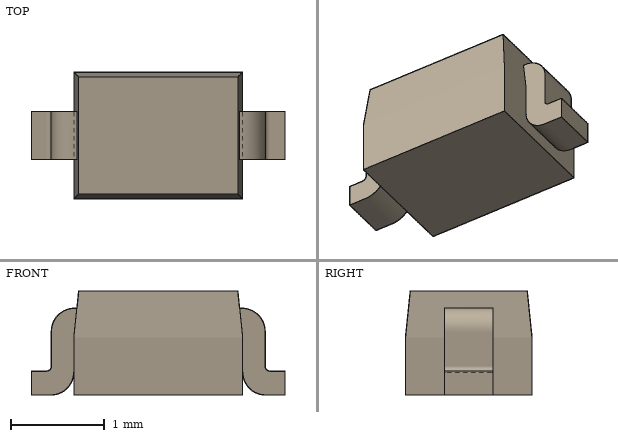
import cadquery as cq

overall_length = 2.7
body_length = 1.798
body_width = 1.35
body_height = 1.11
parting_height = 0.61
top_inset = 0.05

lead_width = 0.513
foot_thickness = 0.256
lead_top = 0.925
post_face_inset = 0.21
heel_radius = 0.243
shoulder_radius = 0.25
toe_fillet = 0.049
lead_embed = 0.135


def make_body():
    """Straight lower half with a tapered upper half."""
    lower = cq.Workplane("XY").box(
        body_length, body_width, parting_height, centered=(True, True, False)
    )
    upper = (
        cq.Workplane("XY", origin=(0, 0, parting_height))
        .rect(body_length, body_width)
        .workplane(offset=body_height - parting_height)
        .rect(body_length - 2 * top_inset, body_width - 2 * top_inset)
        .loft(ruled=True)
    )
    return lower.union(upper)


def make_left_lead():
    """Lead with a flat foot, a rounded heel and a rounded shoulder."""
    tip_x = -overall_length / 2
    post_x = tip_x + post_face_inset
    wall_x = -body_length / 2
    inner_x = wall_x + lead_embed
    profile = (
        cq.Workplane("XZ", origin=(0, lead_width / 2, 0))
        .moveTo(tip_x, 0)
        .lineTo(wall_x - heel_radius, 0)
        .radiusArc((wall_x, heel_radius), -heel_radius)
        .lineTo(wall_x, parting_height)
        .lineTo(inner_x, parting_height)
        .lineTo(inner_x, lead_top)
        .lineTo(post_x + shoulder_radius, lead_top)
        .radiusArc((post_x, lead_top - shoulder_radius), -shoulder_radius)
        .lineTo(post_x, foot_thickness + toe_fillet)
        .radiusArc((post_x - toe_fillet, foot_thickness), toe_fillet)
        .lineTo(tip_x, foot_thickness)
        .close()
    )
    return profile.extrude(lead_width)


left_lead = make_left_lead()
right_lead = left_lead.mirror("YZ")
result = make_body().union(left_lead).union(right_lead)